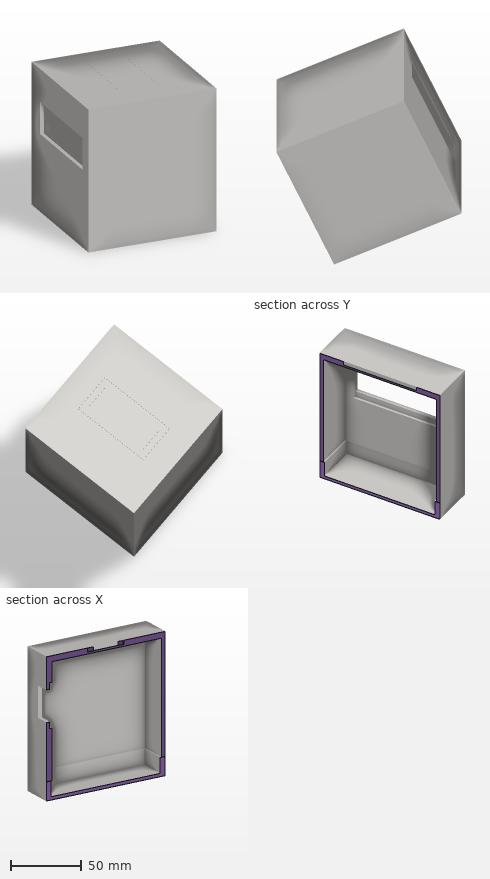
import cadquery as cq

side = 100.0
height = 110.0

base_height = 15.0
base_wall = 4.3
base_floor = 2.9

housing_wall = 3.4
front_wall = 5.0
roof = 5.0

pocket_width = 79.0
pocket_depth = 2.0
pocket_margin = 5.0
window_width = 75.0
window_height = 24.5
window_sill = 60.0

recess_length = 60.0
recess_width = 30.0
plate_thickness = 3.0
gap = 0.1
slot_length = 20.0
slot_spacing = 50.0

front_y = -side / 2
window_right = pocket_width / 2
window_center_z = window_sill + window_height / 2
plate_bottom = height - plate_thickness


def block(length, width, tall, center_x, center_y, bottom):
    """Rectangular block, centred in X and Y, rising from the height `bottom`."""
    return (
        cq.Workplane("XY")
        .box(length, width, tall, centered=(True, True, False))
        .translate((center_x, center_y, bottom))
    )


def front_opening(length, tall, near, far):
    """Cutter for an opening at window height, between two distances behind the front face."""
    center_x = window_right - length / 2
    center_y = front_y + (near + far) / 2
    bottom = window_center_z - tall / 2
    return block(length, far - near, tall, center_x, center_y, bottom)


def make_base():
    """Shallow tray that closes the bottom of the housing."""
    inner = side - 2 * base_wall
    tray = block(side, side, base_height, 0, 0, 0)
    return tray.cut(block(inner, inner, base_height - base_floor, 0, 0, base_floor))


def make_housing():
    """Five-sided shell with the display window and the recess for the cover plate."""
    shell = block(side, side, height - base_height, 0, 0, base_height)

    cavity_width = side - 2 * housing_wall
    cavity_depth = side - housing_wall - front_wall
    cavity_height = height - roof - base_height
    cavity_center_y = (front_wall - housing_wall) / 2
    shell = shell.cut(block(cavity_width, cavity_depth, cavity_height, 0, cavity_center_y, base_height))

    pocket_height = window_height + 2 * pocket_margin
    shell = shell.cut(front_opening(window_width, window_height, 0, front_wall))
    shell = shell.cut(front_opening(pocket_width, pocket_height, front_wall - pocket_depth, front_wall))

    return shell.cut(block(recess_length, recess_width, plate_thickness, 0, 0, plate_bottom))


def make_cover_plate():
    """Plate resting on the recess floor, with two narrow slots through it."""
    plate = block(recess_length - 2 * gap, recess_width - 2 * gap, plate_thickness, 0, 0, plate_bottom)
    for direction in (-1, 1):
        slot_x = direction * slot_spacing / 2
        plate = plate.cut(block(gap, slot_length, plate_thickness, slot_x, 0, plate_bottom))
    return plate


base = make_base()
housing = make_housing()
cover_plate = make_cover_plate()

bodies = [base, housing, cover_plate]
result = cq.Compound.makeCompound([body.solids().val() for body in bodies])